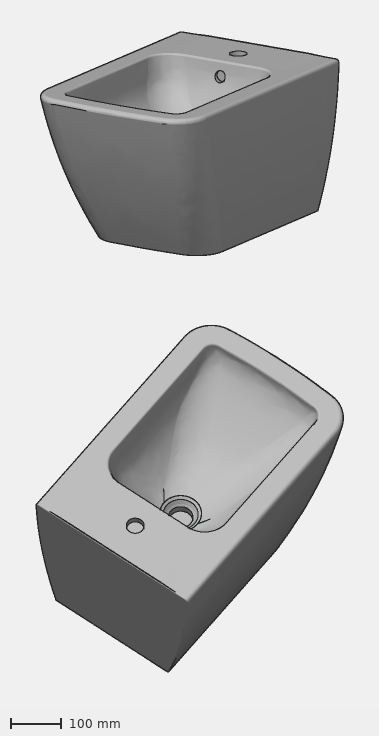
import cadquery as cq
import math

LENGTH = 559.0
WIDTH = 376.5
HEIGHT = 320.0

DECK_RISE = 1.5
DECK_WALL_HALF_WIDTH = 155.0
DECK_FRONT_HALF_WIDTH = 143.0
DECK_CREST_HALF_WIDTH = 120.0
DECK_DEPTH = 128.5
RIM_Z = HEIGHT - DECK_RISE
DECK_OVERLAP = 5.5
DECK_SUNK_Z = RIM_Z - DECK_OVERLAP

BELLY_Z = 308.5
FRONT_BOW_RADIUS = 1398.0
RIM_ROUNDING = 8.5
WALL_EDGE_ROUNDING = 2.0
SHELL_SECTIONS = [
    (0.0, 138.5, 0.0, 415.0, 0.0, 58.5),
    (BELLY_Z / 2, 173.5, 0.0, 497.5, 0.0, 64.5),
    (BELLY_Z, WIDTH / 2, 0.0, LENGTH, 0.0, 67.0),
]

DRAIN_RADIUS = 41.5
DRAIN_Z = 171.0
DRAIN_Y = -225.5
MOUTH_MARGIN = 0.5
MOUTH_HALF_WIDTH = DRAIN_RADIUS - MOUTH_MARGIN
MOUTH_BACK = -DRAIN_Y - MOUTH_HALF_WIDTH
MOUTH_FRONT = -DRAIN_Y + MOUTH_HALF_WIDTH
MOUTH_CORNER = MOUTH_HALF_WIDTH - MOUTH_MARGIN

LIP_ROUNDING = 4.5
BASIN_SECTIONS = [
    (RIM_Z, 138.5, 138.0, 512.0, 53.0, 22.5),
    (277.0, 132.0, 145.5, 489.0, 56.0, 33.5),
    (240.5, 120.0, 159.5, 433.5, 58.5, 50.5),
    (207.0, 92.0, 175.0, 372.0, 56.0, 53.0),
    (181.5, 61.5, 184.5, 304.5, 47.5, 47.5),
    (DRAIN_Z, MOUTH_HALF_WIDTH, MOUTH_BACK, MOUTH_FRONT, MOUTH_CORNER, MOUTH_CORNER),
]

BORE_DIAMETER = 48.5
DRAIN_FLOOR_Z = 140.0
DRAIN_STEPS = [
    (DRAIN_RADIUS, DRAIN_Z),
    (34.5, 167.0),
    (28.5, 160.0),
    (BORE_DIAMETER / 2, 156.5),
]

TAP_DIAMETER = 35.0
TAP_Y = -76.5
TAP_DEPTH = 15.0
OVERFLOW_DIAMETER = 23.5
OVERFLOW_Z = 287.5
OVERFLOW_FLOOR_Y = -135.5
OVERFLOW_LENGTH = 28.0


def bowed_outline(z, half_width, back, front, back_corner, front_corner):
    """Closed level outline: straight back and sides, bowed front, tangent corner arcs.

    A back corner radius of zero leaves the back corners sharp.
    """
    bow_centre_y = FRONT_BOW_RADIUS - front
    corner_x = half_width - front_corner
    reach = FRONT_BOW_RADIUS - front_corner
    side_end_y = bow_centre_y - math.sqrt(reach**2 - corner_x**2)
    lean = math.asin(corner_x / reach)
    bow_end_x = FRONT_BOW_RADIUS * math.sin(lean)
    bow_end_y = bow_centre_y - FRONT_BOW_RADIUS * math.cos(lean)
    middle = lean / 2 + math.pi / 4
    middle_x = corner_x + front_corner * math.sin(middle)
    middle_y = side_end_y - front_corner * math.cos(middle)
    back_x = half_width - back_corner

    outline = cq.Workplane("XY", origin=(0, 0, z)).moveTo(-back_x, -back)
    if back_corner:
        outline = outline.radiusArc((-half_width, -back - back_corner), -back_corner)
    outline = (
        outline.lineTo(-half_width, side_end_y)
        .threePointArc((-middle_x, middle_y), (-bow_end_x, bow_end_y))
        .threePointArc((0, -front), (bow_end_x, bow_end_y))
        .threePointArc((middle_x, middle_y), (half_width, side_end_y))
        .lineTo(half_width, -back - back_corner)
    )
    if back_corner:
        outline = outline.radiusArc((back_x, -back), -back_corner)
    return outline.close().wire().val()


def loft(sections):
    return cq.Workplane(cq.Solid.makeLoft([bowed_outline(*section) for section in sections]))


def make_shell():
    lower = loft(SHELL_SECTIONS)
    rim = lower.faces(">Z").wires().toPending().extrude(RIM_Z - BELLY_Z)
    shell = lower.union(rim)
    shell = shell.faces(">Z").edges("not >Y").fillet(RIM_ROUNDING)
    return shell.faces(">Y").edges().fillet(WALL_EDGE_ROUNDING)


def deck_section(y, foot_half_width, crest_z):
    """Trapezoid across the deck, sunk below the rim so that it joins the shell."""
    points = [
        (-foot_half_width, DECK_SUNK_Z),
        (-foot_half_width, RIM_Z),
        (-DECK_CREST_HALF_WIDTH, crest_z),
        (DECK_CREST_HALF_WIDTH, crest_z),
        (foot_half_width, RIM_Z),
        (foot_half_width, DECK_SUNK_Z),
    ]
    return cq.Wire.makePolygon([cq.Vector(x, y, z) for x, z in points], close=True)


def make_deck():
    """Ridge that is highest at the wall and runs out level with the rim at its front."""
    at_wall = deck_section(-WALL_EDGE_ROUNDING, DECK_WALL_HALF_WIDTH, HEIGHT)
    at_front = deck_section(-DECK_DEPTH, DECK_FRONT_HALF_WIDTH, RIM_Z)
    return cq.Workplane(cq.Solid.makeLoft([at_wall, at_front], True))


def make_drain():
    profile = cq.Workplane("XZ", origin=(0, DRAIN_Y, 0)).moveTo(0, DRAIN_Z)
    for radius, z in DRAIN_STEPS:
        profile = profile.lineTo(radius, z)
    profile = profile.lineTo(BORE_DIAMETER / 2, DRAIN_FLOOR_Z).lineTo(0, DRAIN_FLOOR_Z).close()
    return profile.revolve(360, (0, 0, 0), (0, 1, 0))


def make_tap_hole():
    return (
        cq.Workplane("XY", origin=(0, TAP_Y, HEIGHT))
        .circle(TAP_DIAMETER / 2)
        .extrude(-TAP_DEPTH)
    )


def make_overflow():
    return (
        cq.Workplane("XZ", origin=(0, OVERFLOW_FLOOR_Y, OVERFLOW_Z))
        .circle(OVERFLOW_DIAMETER / 2)
        .extrude(OVERFLOW_LENGTH)
    )


def make_bowl():
    """Shell with the basin cut out and the lip rounded."""
    bowl = make_shell().cut(loft(BASIN_SECTIONS))
    lip_edges = bowl.faces(">Z").val().innerWires()[0].Edges()
    return bowl.newObject(lip_edges).fillet(LIP_ROUNDING)


result = (
    make_bowl()
    .union(make_deck())
    .cut(make_drain())
    .cut(make_tap_hole())
    .cut(make_overflow())
)